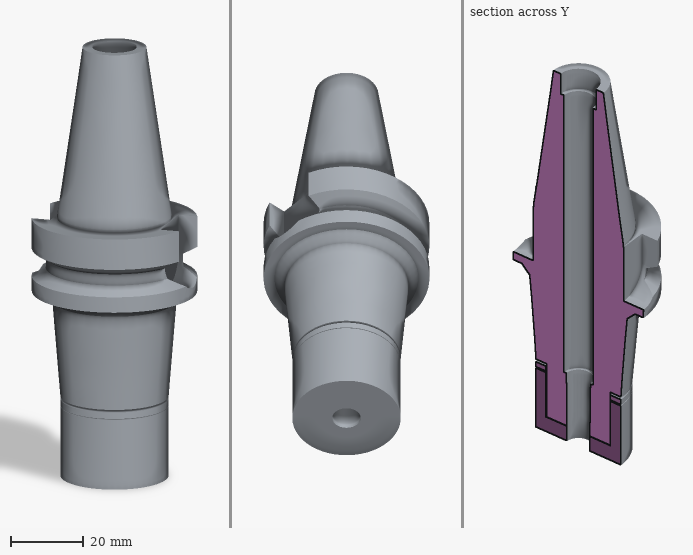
import cadquery as cq


total_height = 123.4
taper_length = 48.4
collar_height = 0.7
nut_height = 20.1
washer_gap = 0.2
washer_thickness = 1.9
shank_gap = 0.7

taper_base_z = total_height - taper_length
flange_top_z = taper_base_z - collar_height
washer_z = nut_height + washer_gap
shank_end_z = washer_z + washer_thickness + shank_gap

taper_base_radius = 15.9
taper_slope = 7 / 48
taper_tip_radius = taper_base_radius - taper_length * taper_slope

flange_diameter = 46.0
flange_radius = flange_diameter / 2
groove_radius = 19.1
groove_top_z = 65.5
groove_bottom_z = 57.6
groove_side_height = 2.3
flange_bottom_z = 53.2
flange_cone_radius = 20.0

slot_width = 16.2
slot_floor_x = 16.0
slot_bottom_z = 56.0

shank_top_radius = 17.3
shank_end_radius = 15.0
nose_radius = 11.4
nose_end_z = 4.9
shank_top_z = flange_bottom_z - (flange_cone_radius - shank_top_radius)

mouth_radius = 6.2
mouth_depth = 6.8
thread_radius = 5.0
seat_top_z = shank_end_z
seat_top_radius = 4.2
through_radius = 4.0

nut_radius = 15.0


def make_holder_blank():
    """Solid of revolution: taper, flange, shank and nose."""
    outline = [
        (0, nose_end_z),
        (nose_radius, nose_end_z),
        (nose_radius, shank_end_z),
        (shank_end_radius, shank_end_z),
        (shank_top_radius, shank_top_z),
        (flange_cone_radius, flange_bottom_z),
        (flange_radius, flange_bottom_z),
        (flange_radius, groove_bottom_z),
        (groove_radius, groove_bottom_z + groove_side_height),
        (groove_radius, groove_top_z - groove_side_height),
        (flange_radius, groove_top_z),
        (flange_radius, flange_top_z),
        (taper_base_radius, flange_top_z),
        (taper_base_radius, taper_base_z),
        (taper_tip_radius, total_height),
        (0, total_height),
    ]
    return cq.Workplane("YZ").polyline(outline).close().revolve(360, (0, 0), (0, 1))


def make_holder_bore():
    """Stepped bore that narrows downwards and ends in a slightly tapered collet seat."""
    mouth_floor_z = total_height - mouth_depth
    outline = [
        (0, nose_end_z),
        (through_radius, nose_end_z),
        (seat_top_radius, seat_top_z),
        (thread_radius, seat_top_z),
        (thread_radius, mouth_floor_z),
        (mouth_radius, mouth_floor_z),
        (mouth_radius, total_height),
        (0, total_height),
    ]
    return cq.Workplane("YZ").polyline(outline).close().revolve(360, (0, 0), (0, 1))


def make_drive_slot(side):
    """Cutter for one round-bottomed drive slot, open at the top and on the outside; side is +1 or -1."""
    half_width = slot_width / 2
    round_center_z = slot_bottom_z + half_width
    depth = flange_radius - slot_floor_x
    return (
        cq.Workplane("YZ", origin=(side * slot_floor_x, 0, 0))
        .moveTo(-half_width, flange_top_z)
        .lineTo(-half_width, round_center_z)
        .threePointArc((0, slot_bottom_z), (half_width, round_center_z))
        .lineTo(half_width, flange_top_z)
        .close()
        .extrude(side * depth)
    )


def make_holder():
    body = make_holder_blank().cut(make_holder_bore())
    for side in (-1, 1):
        body = body.cut(make_drive_slot(side))
    return body


def make_washer():
    """Flat ring that fits round the nose, between the shank and the nut."""
    return (
        cq.Workplane("XY", origin=(0, 0, washer_z))
        .circle(nut_radius)
        .circle(nose_radius)
        .extrude(washer_thickness)
    )


def make_nut():
    """Plain round nut with a recess for the nose and a through hole in its floor."""
    recess_depth = nut_height - nose_end_z
    nose_recess = cq.Workplane("XY", origin=(0, 0, nose_end_z)).circle(nose_radius).extrude(recess_depth)
    return cq.Workplane("XY").circle(nut_radius).circle(through_radius).extrude(nut_height).cut(nose_recess)


holder = make_holder()
washer = make_washer()
nut = make_nut()

result = cq.Compound.makeCompound([holder.val(), washer.val(), nut.val()])